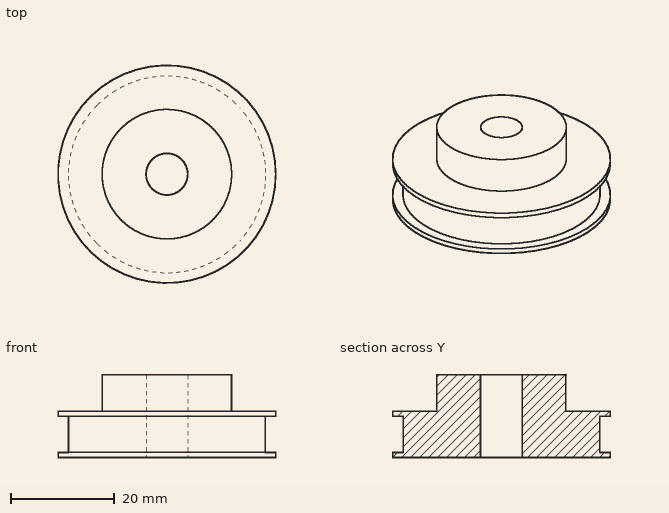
import cadquery as cq

flange_diameter = 42.0
rim_diameter = 38.0
hub_diameter = 25.0
bore_diameter = 8.0
total_height = 16.0
flange_thickness = 1.0
rim_width = 6.97

upper_flange_bottom = flange_thickness + rim_width
upper_flange_top = upper_flange_bottom + flange_thickness


def disc(diameter, bottom, top):
    """Solid cylinder about the Z axis between two heights."""
    return cq.Workplane("XY").workplane(offset=bottom).circle(diameter / 2).extrude(top - bottom)


lower_flange = disc(flange_diameter, 0, flange_thickness)
rim = disc(rim_diameter, flange_thickness, upper_flange_bottom)
upper_flange = disc(flange_diameter, upper_flange_bottom, upper_flange_top)
hub = disc(hub_diameter, upper_flange_top, total_height)
body = lower_flange.union(rim).union(upper_flange).union(hub)

bore = disc(bore_diameter, 0, total_height)
result = body.cut(bore)